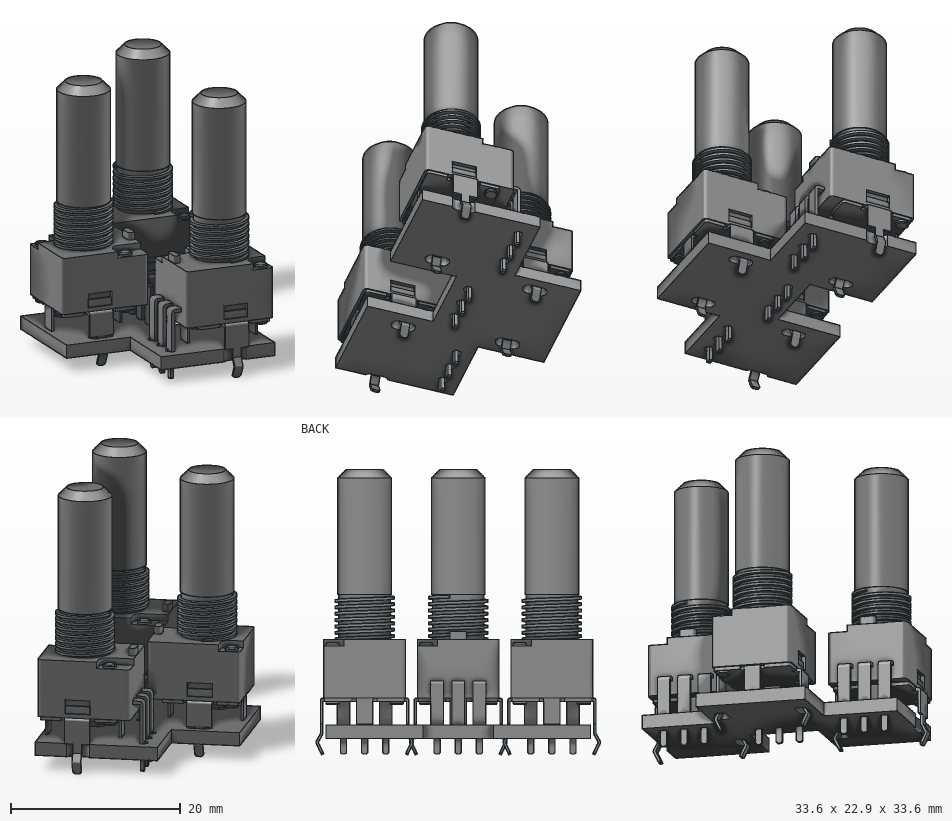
import cadquery as cq
import math


POT_PITCH_X = 11.05
POT_OFFSET_Y = 6.3
POT_PLACES = [
    (-POT_PITCH_X, POT_OFFSET_Y, 0),
    (0, -POT_OFFSET_Y, 180),
    (POT_PITCH_X, POT_OFFSET_Y, 0),
]

BOARD_THICKNESS = 1.6
BOARD_HALF_X = 15.6
BOARD_HALF_Y = 11.45
BOARD_STEP_Y = 3.23
BACK_NOTCH_HALF_X = 4.17
FRONT_BLOCK_HALF_X = 6.65

HOUSING_WIDTH = 9.65
HOUSING_BACK_Y = 4.8
HOUSING_FRONT_Y = -POT_OFFSET_Y
HOUSING_BOTTOM_Z = 3.15
HOUSING_TOP_Z = 10.1
HOUSING_CORNER_RADIUS = 0.5
BACK_RIGHT_CORNER_RADIUS = 0.27

RECESS_INNER_X = 2.42
RECESS_INNER_Y = 2.3
RECESS_DEPTH = 0.77
RECESS_CORNER_RADIUS = 1

RIVET_X = 3.77
RIVET_Y = 3.65
RIVET_DIAMETER = 1.6
RIVET_HEAD_HEIGHT = 0.37
RIVET_CHAMFER = 0.15

KEY_WIDTH = 1.95
KEY_LENGTH = 0.85
KEY_HEIGHT = 0.9
KEY_SETBACK = 0.07
KEY_CORNER_RADIUS = 0.3

WINDOW_BOTTOM_Z = 3.65
WINDOW_STEP_Z = 4.58
WINDOW_TOP_Z = 5.35
WINDOW_LOWER_DEPTH = 0.2
WINDOW_UPPER_DEPTH = 0.47

SHAFT_DIAMETER = 6.35
SHAFT_BOTTOM_Z = 15.37
SHAFT_TOP_Z = 30.1
SHAFT_CHAMFER = 1
BUSHING_CORE_DIAMETER = 6.12
THREAD_DIAMETER = 7.0
THREAD_TURNS = 6.7
THREAD_RISE = 5.05
THREAD_ROOT_HEIGHT = 0.45
THREAD_CREST_HEIGHT = 0.3
THREAD_EMBED = 0.1

SHEET = 0.3
PLATE_THICKNESS = 0.4
PLATE_HALF_X = 4.7
PLATE_HALF_Y = 4.55
PLATE_BOTTOM_Z = HOUSING_BOTTOM_Z - PLATE_THICKNESS
PLATE_CORNER_RADIUS = 0.35
RELIEF_WIDTH = 0.5
TAB_CLEARANCE = 0.1
END_TAB_WIDTH = 1.95
SIDE_TAB_WIDTH = 3.03
SIDE_TAB_OUTER_X = 5.2
TAB_BEND_RADIUS = 0.27

SNAP_LEG_WIDTH = 1.05
SNAP_BEND_Z = -1.05
SNAP_APEX_X = 5.62
SNAP_APEX_Z = -2.05
SNAP_APEX_RADIUS = 0.35
SNAP_TIP_X = 4.95
SNAP_TIP_Z = -3.45
SNAP_TIP_CORNER_RADIUS = 0.4

TERMINAL_PITCH = 2.5
TERMINAL_WIDTH = 1.5
TERMINAL_THICKNESS = 0.4
TERMINAL_OUTER_Y = -7.57
TERMINAL_TOP_Z = 5.18
TERMINAL_BEND_RADIUS = 0.5
PIN_WIDTH = 0.75
PIN_TIP_Z = -3.43
PIN_TIP_CHAMFER = 0.17

PIN_HOLE_DIAMETER = 1
PIN_HOLE_Y = -7.5
LEG_SLOT_X = 4.9
LEG_SLOT_LENGTH = 2.95
LEG_SLOT_WIDTH = 1.4

TERMINAL_XS = [-TERMINAL_PITCH, 0, TERMINAL_PITCH]
SIDES = (-1, 1)
HALF_TURNS = (0, 180)


def block(x0, x1, y0, y1, z0, z1):
    """A box given by its limits along X, Y and Z."""
    return cq.Workplane().box(x1 - x0, y1 - y0, z1 - z0, centered=False).translate((x0, y0, z0))


def placed(shape):
    """Copies of a shape in the frames of the three potentiometers."""
    return [
        shape.rotate((0, 0, 0), (0, 0, 1), turn).translate((x, y, 0))
        for x, y, turn in POT_PLACES
    ]


def make_board():
    outline = [
        (-BOARD_HALF_X, BOARD_HALF_Y),
        (-BACK_NOTCH_HALF_X, BOARD_HALF_Y),
        (-BACK_NOTCH_HALF_X, BOARD_STEP_Y),
        (BACK_NOTCH_HALF_X, BOARD_STEP_Y),
        (BACK_NOTCH_HALF_X, BOARD_HALF_Y),
        (BOARD_HALF_X, BOARD_HALF_Y),
        (BOARD_HALF_X, -BOARD_STEP_Y),
        (FRONT_BLOCK_HALF_X, -BOARD_STEP_Y),
        (FRONT_BLOCK_HALF_X, -BOARD_HALF_Y),
        (-FRONT_BLOCK_HALF_X, -BOARD_HALF_Y),
        (-FRONT_BLOCK_HALF_X, -BOARD_STEP_Y),
        (-BOARD_HALF_X, -BOARD_STEP_Y),
    ]
    board = cq.Workplane().polyline(outline).close().extrude(-BOARD_THICKNESS)

    pin_holes = (
        cq.Workplane()
        .pushPoints([(x, PIN_HOLE_Y) for x in TERMINAL_XS])
        .circle(PIN_HOLE_DIAMETER / 2)
        .extrude(-BOARD_THICKNESS)
    )
    leg_slots = (
        cq.Workplane()
        .pushPoints([(side * LEG_SLOT_X, 0) for side in SIDES])
        .slot2D(LEG_SLOT_LENGTH, LEG_SLOT_WIDTH, 90)
        .extrude(-BOARD_THICKNESS)
    )
    for openings in placed(pin_holes) + placed(leg_slots):
        board = board.cut(openings)
    return board


def make_housing():
    half = HOUSING_WIDTH / 2
    housing = block(-half, half, HOUSING_FRONT_Y, HOUSING_BACK_Y, HOUSING_BOTTOM_Z, HOUSING_TOP_Z)
    housing = housing.edges("|Z and (<X or <Y)").fillet(HOUSING_CORNER_RADIUS)
    housing = housing.edges("|Z and >X and >Y").fillet(BACK_RIGHT_CORNER_RADIUS)

    recess_floor_z = HOUSING_TOP_Z - RECESS_DEPTH
    front_recess = block(
        -half, -RECESS_INNER_X, HOUSING_FRONT_Y, -RECESS_INNER_Y, recess_floor_z, HOUSING_TOP_Z
    ).edges("|Z and >X and >Y").fillet(RECESS_CORNER_RADIUS)
    back_recess = block(
        RECESS_INNER_X, half, RECESS_INNER_Y, HOUSING_BACK_Y, recess_floor_z, HOUSING_TOP_Z
    ).edges("|Z and <X and <Y").fillet(RECESS_CORNER_RADIUS)
    housing = housing.cut(front_recess).cut(back_recess)

    for side in SIDES:
        housing = housing.cut(make_side_window(side))

    key_front_y = HOUSING_FRONT_Y + KEY_SETBACK
    key = block(
        -KEY_WIDTH / 2, KEY_WIDTH / 2, key_front_y, key_front_y + KEY_LENGTH,
        HOUSING_TOP_Z, HOUSING_TOP_Z + KEY_HEIGHT,
    ).edges("|Z").fillet(KEY_CORNER_RADIUS)
    return housing.union(key)


def make_side_window(side):
    """Stepped pocket in a side wall, deeper above the step."""
    wall_x = side * HOUSING_WIDTH / 2
    lower_x = wall_x - side * WINDOW_LOWER_DEPTH
    upper_x = wall_x - side * WINDOW_UPPER_DEPTH
    profile = [
        (wall_x, WINDOW_BOTTOM_Z),
        (lower_x, WINDOW_BOTTOM_Z),
        (lower_x, WINDOW_STEP_Z),
        (upper_x, WINDOW_STEP_Z),
        (upper_x, WINDOW_TOP_Z),
        (wall_x, WINDOW_TOP_Z),
    ]
    return cq.Workplane("XZ").polyline(profile).close().extrude(SIDE_TAB_WIDTH / 2, both=True)


def make_rivet_heads():
    """Heads in the two corner recesses and under the base plate."""
    centres = [(-RIVET_X, -RIVET_Y), (RIVET_X, RIVET_Y)]
    head = cq.Workplane().circle(RIVET_DIAMETER / 2).extrude(RIVET_HEAD_HEIGHT)
    top_head = head.faces(">Z").chamfer(RIVET_CHAMFER)
    bottom_head = top_head.rotate((0, 0, 0), (1, 0, 0), 180)
    top_z = HOUSING_TOP_Z - RECESS_DEPTH
    heads = []
    for x, y in centres:
        heads.append(top_head.translate((x, y, top_z)))
        heads.append(bottom_head.translate((x, y, PLATE_BOTTOM_Z)))
    return heads


def make_bushing_and_shaft():
    core = (
        cq.Workplane()
        .workplane(offset=HOUSING_TOP_Z)
        .circle(BUSHING_CORE_DIAMETER / 2)
        .extrude(SHAFT_BOTTOM_Z - HOUSING_TOP_Z)
    )
    shaft = (
        cq.Workplane()
        .workplane(offset=SHAFT_BOTTOM_Z)
        .circle(SHAFT_DIAMETER / 2)
        .extrude(SHAFT_TOP_Z - SHAFT_BOTTOM_Z)
        .faces(">Z")
        .chamfer(SHAFT_CHAMFER)
    )
    return core.union(make_thread()).union(shaft)


def make_thread():
    """Trapezoidal ridge swept along a right-handed helix."""
    root_radius = BUSHING_CORE_DIAMETER / 2 - THREAD_EMBED
    crest_radius = THREAD_DIAMETER / 2
    helix = cq.Wire.makeHelix(THREAD_RISE / THREAD_TURNS, THREAD_RISE, root_radius)
    ridge = (
        cq.Workplane("XZ")
        .polyline([
            (root_radius, -THREAD_ROOT_HEIGHT / 2),
            (crest_radius, -THREAD_CREST_HEIGHT / 2),
            (crest_radius, THREAD_CREST_HEIGHT / 2),
            (root_radius, THREAD_ROOT_HEIGHT / 2),
        ])
        .close()
        .sweep(cq.Workplane(obj=helix), isFrenet=True)
    )
    return ridge.translate((0, 0, HOUSING_TOP_Z))


def make_base_plate():
    plate = block(
        -PLATE_HALF_X, PLATE_HALF_X, -PLATE_HALF_Y, PLATE_HALF_Y, PLATE_BOTTOM_Z, HOUSING_BOTTOM_Z
    ).edges("|Z").fillet(PLATE_CORNER_RADIUS)

    end_half = END_TAB_WIDTH / 2 + RELIEF_WIDTH
    side_half = SIDE_TAB_WIDTH / 2 + RELIEF_WIDTH
    end_y = PLATE_HALF_Y - RELIEF_WIDTH
    side_x = PLATE_HALF_X - RELIEF_WIDTH
    end_notch = block(-end_half, end_half, end_y, PLATE_HALF_Y, PLATE_BOTTOM_Z, HOUSING_BOTTOM_Z)
    side_notch = block(side_x, PLATE_HALF_X, -side_half, side_half, PLATE_BOTTOM_Z, HOUSING_BOTTOM_Z)
    for turn in HALF_TURNS:
        plate = plate.cut(end_notch.rotate((0, 0, 0), (0, 0, 1), turn))
        plate = plate.cut(side_notch.rotate((0, 0, 0), (0, 0, 1), turn))
    return plate


def make_bent_tab(width, root_x, outer_x):
    """Tab that leaves the base plate toward +X and bends down to just above the board."""
    half = width / 2
    arm = block(root_x, outer_x, -half, half, PLATE_BOTTOM_Z, HOUSING_BOTTOM_Z)
    wall = block(outer_x - SHEET, outer_x, -half, half, TAB_CLEARANCE, HOUSING_BOTTOM_Z)
    return arm.union(wall).edges("|Y and >X and >Z").fillet(TAB_BEND_RADIUS)


def make_end_tab():
    """Narrow tab at the back edge of the base plate."""
    tab = make_bent_tab(END_TAB_WIDTH, PLATE_HALF_Y - RELIEF_WIDTH, PLATE_HALF_Y)
    return tab.rotate((0, 0, 0), (0, 0, 1), 90)


def make_side_tab():
    """Wide tab at the +X edge of the base plate, ending in a narrow kinked snap leg."""
    tab = make_bent_tab(SIDE_TAB_WIDTH, PLATE_HALF_X - RELIEF_WIDTH, SIDE_TAB_OUTER_X)
    middle_x = SIDE_TAB_OUTER_X - SHEET / 2
    centre_line = [
        (middle_x, TAB_CLEARANCE),
        (middle_x, SNAP_BEND_Z),
        (SNAP_APEX_X, SNAP_APEX_Z),
        (SNAP_TIP_X, SNAP_TIP_Z),
    ]
    strip = cq.Workplane("XZ").polyline(strip_outline(centre_line, SHEET)).close()
    leg = strip.extrude(SNAP_LEG_WIDTH / 2, both=True)
    leg = leg.edges("|Y and >X").fillet(SNAP_APEX_RADIUS)

    limits = leg.val().BoundingBox()
    rounded = block(
        limits.xmin, limits.xmax, limits.ymin, limits.ymax, limits.zmin, limits.zmax
    ).edges("|X and <Z").fillet(SNAP_TIP_CORNER_RADIUS)
    return tab.union(leg.intersect(rounded))


def strip_outline(centre_line, thickness):
    """Outline of a strip of even thickness that follows a bent centre line, with mitred bends."""
    directions = [
        math.atan2(z1 - z0, x1 - x0)
        for (x0, z0), (x1, z1) in zip(centre_line, centre_line[1:])
    ]
    left_side = []
    right_side = []
    for i, (x, z) in enumerate(centre_line):
        before = directions[max(i - 1, 0)]
        after = directions[min(i, len(directions) - 1)]
        normal = (before + after) / 2 + math.pi / 2
        reach = thickness / 2 / math.cos((after - before) / 2)
        dx = reach * math.cos(normal)
        dz = reach * math.sin(normal)
        left_side.append((x + dx, z + dz))
        right_side.append((x - dx, z - dz))
    return left_side + right_side[::-1]


def make_terminal():
    """Flat lead bent down in front of the housing, narrowing to a pin below the board top."""
    half = TERMINAL_WIDTH / 2
    inner_y = TERMINAL_OUTER_Y + TERMINAL_THICKNESS
    arm = block(
        -half, half, TERMINAL_OUTER_Y, HOUSING_FRONT_Y,
        TERMINAL_TOP_Z - TERMINAL_THICKNESS, TERMINAL_TOP_Z,
    )
    lead = block(-half, half, TERMINAL_OUTER_Y, inner_y, 0, TERMINAL_TOP_Z)
    lead = arm.union(lead).edges("|X and <Y and >Z").fillet(TERMINAL_BEND_RADIUS)
    pin = block(-PIN_WIDTH / 2, PIN_WIDTH / 2, TERMINAL_OUTER_Y, inner_y, PIN_TIP_Z, 0)
    pin = pin.edges("|Y and <Z").chamfer(PIN_TIP_CHAMFER)
    return lead.union(pin)


def make_potentiometer():
    pot = make_housing().union(make_base_plate())
    pieces = [make_bushing_and_shaft(), *make_rivet_heads()]
    for turn in HALF_TURNS:
        pieces.append(make_end_tab().rotate((0, 0, 0), (0, 0, 1), turn))
        pieces.append(make_side_tab().rotate((0, 0, 0), (0, 0, 1), turn))
    for x in TERMINAL_XS:
        pieces.append(make_terminal().translate((x, 0, 0)))
    for piece in pieces:
        pot = pot.union(piece)
    return pot


board = make_board()
potentiometers = placed(make_potentiometer())

result = cq.Compound.makeCompound([board.val(), *[pot.val() for pot in potentiometers]])